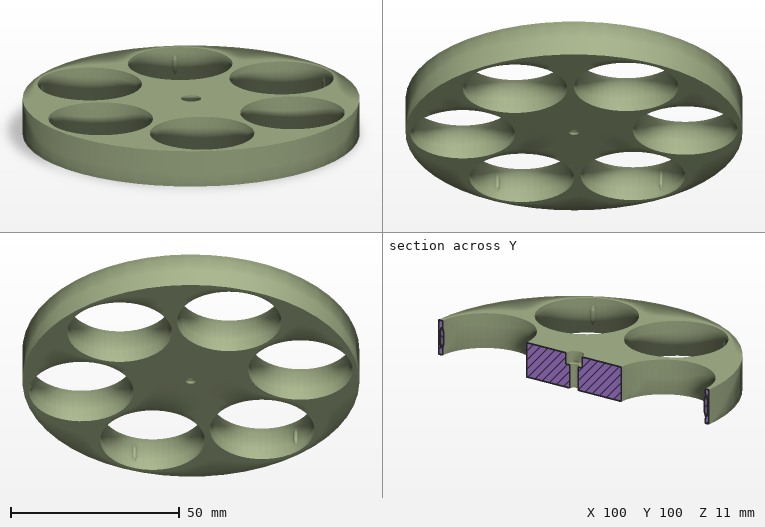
import cadquery as cq
import math

wheel_diameter = 100.0
wheel_height = 11.0

opening_count = 6
opening_diameter = 31.0
opening_ring_radius = 33.0

bore_diameter = 3.0
counterbore_diameter = 6.0
counterbore_depth = 3.5

pin_length = 6.2
pin_straight_length = 3.2
pin_radius = 0.7
pin_tip_radius = 0.25
pin_protrusion = 0.5

pin_axis_radius = opening_ring_radius + opening_diameter / 2 - pin_protrusion + pin_radius
opening_angles = [i * 360 / opening_count for i in range(opening_count)]


def make_pin(angle):
    """Upright pin at mid-height of the wheel, in the outer wall of the opening at the given angle."""
    half_length = pin_length / 2
    half_straight = pin_straight_length / 2
    pin = (
        cq.Workplane("XZ", origin=(pin_axis_radius, 0, wheel_height / 2))
        .moveTo(0, -half_length)
        .lineTo(pin_tip_radius, -half_length)
        .lineTo(pin_radius, -half_straight)
        .lineTo(pin_radius, half_straight)
        .lineTo(pin_tip_radius, half_length)
        .lineTo(0, half_length)
        .close()
        .revolve(360, (0, 0), (0, 1))
    )
    return pin.rotate((0, 0, 0), (0, 0, 1), angle)


def make_wheel(pins):
    """Round plate with openings, a counterbored centre and a recess for every pin."""
    opening_centres = [
        (
            opening_ring_radius * math.cos(math.radians(angle)),
            opening_ring_radius * math.sin(math.radians(angle)),
        )
        for angle in opening_angles
    ]
    plate = cq.Workplane("XY").circle(wheel_diameter / 2).extrude(wheel_height)
    plate = (
        plate.faces(">Z")
        .workplane(origin=(0, 0, wheel_height))
        .cboreHole(bore_diameter, counterbore_diameter, counterbore_depth)
    )
    openings = (
        cq.Workplane("XY")
        .pushPoints(opening_centres)
        .circle(opening_diameter / 2)
        .extrude(wheel_height)
    )
    plate = plate.cut(openings)
    for pin in pins:
        plate = plate.cut(pin)
    return plate


pins = [make_pin(angle) for angle in opening_angles]
wheel = make_wheel(pins)

result = cq.Compound.makeCompound([wheel.val(), *[pin.val() for pin in pins]])